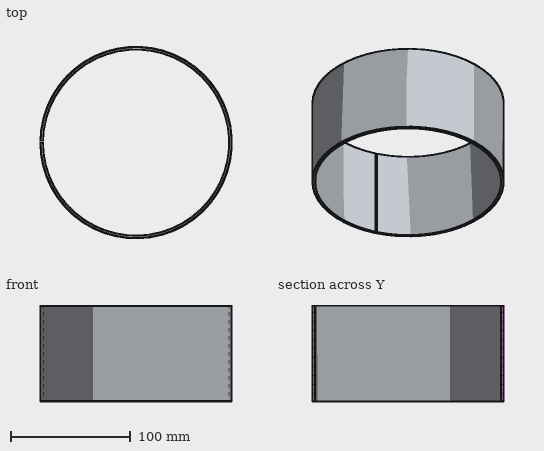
import cadquery as cq

outer_diameter = 160.0
wall = 2.5
height = 80.0
outer_chamfer = 0.5
inner_chamfer = 0.2
gap_angle = 1.0

outer_radius = outer_diameter / 2
inner_radius = outer_radius - wall


def wall_section():
    """Wall section in the XZ plane, on the -X side of the ring axis, with all four corners chamfered."""
    return (
        cq.Workplane("XZ")
        .moveTo(-outer_radius, outer_chamfer)
        .lineTo(-outer_radius, height - outer_chamfer)
        .lineTo(-outer_radius + outer_chamfer, height)
        .lineTo(-inner_radius - inner_chamfer, height)
        .lineTo(-inner_radius, height - inner_chamfer)
        .lineTo(-inner_radius, inner_chamfer)
        .lineTo(-inner_radius - inner_chamfer, 0)
        .lineTo(-outer_radius + outer_chamfer, 0)
        .close()
    )


def split_ring():
    """Sweep the section around Z from -X, stopping short to leave the gap on the +Y side of -X."""
    sweep_angle = 360 - gap_angle
    axis_start = (0, 0, 0)
    axis_end = (0, 1, 0)
    return wall_section().revolve(sweep_angle, axis_start, axis_end)


result = split_ring()